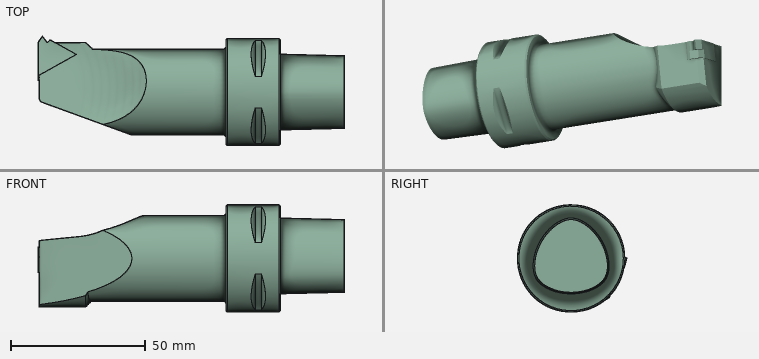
import cadquery as cq
import math

overall_length = 114.0
flange_start = 69.9
flange_end = 90.2
flange_radius = 20.01
flange_edge_chamfer = 0.6
shank_radius = 16.02
shank_fillet = 0.9

coupling_mean_radius = 14.1
coupling_lobe_height = 0.9
coupling_taper = 1 / 40
coupling_points = 36

slot_count = 4
slot_center_x = 82.0
slot_floor_distance = 17.7
slot_floor_width = 2.3
slot_mouth_width = 5.4
slot_reach = 45.6

tilt = 15.0
head_front = 0.3
head_back = 21.1
head_radius = 20.4
head_center_y = 2.7
head_center_z = 2.3
head_back_chamfer = 3.4
rake_height = 5.6
side_wall_offset = 17.5
corner_cut_y = 16.1

relief_angle = 20.0
relief_end_x = 34.9
nose_radius = 2.0

scoop_axis_x = -14.4
scoop_floor_radius = 31.9
scoop_arc_radius = 30.0
scoop_arc_angle = 70.0

insert_altitude = 14.2
insert_mid_y = 13.0
insert_thickness = 3.6
seat_thickness = 3.1
seat_flank_start_y = 16.1
seat_flank_end = (1.4, 18.5)
tooth_tip = (1.6, 20.1)
tooth_start_y = 17.7
tooth_root = (3.4, 17.5)
tooth_crest_x = 4.5
thirty_slope = math.tan(math.radians(30))
insert_half_side = insert_altitude * thirty_slope
insert_low_y = insert_mid_y - insert_half_side
insert_high_y = insert_mid_y + insert_half_side
seat_top = rake_height - insert_thickness
seat_bottom = seat_top - seat_thickness

margin = 68.4


def tilted(shape):
    """Turn a shape from the upright head frame into the tilted one."""
    return shape.rotate((0, 0, 0), (1, 0, 0), -tilt)


def cylinder_along_x(start, end, radius):
    return cq.Workplane("YZ", origin=(start, 0, 0)).circle(radius).extrude(end - start)


def make_shank():
    """Round shank whose root flares into the flange face with a fillet."""
    flare_start = flange_start - shank_fillet
    return (
        cq.Workplane("XY")
        .moveTo(head_front, 0)
        .lineTo(head_front, shank_radius)
        .lineTo(flare_start, shank_radius)
        .radiusArc((flange_start, shank_radius + shank_fillet), -shank_fillet)
        .lineTo(flange_start, 0)
        .close()
        .revolve(360, (0, 0, 0), (1, 0, 0))
    )


def make_slot():
    """One straight trapezoidal slot, cut across the +Z side of the flange."""
    depth = flange_radius - slot_floor_distance
    half_floor = slot_floor_width / 2
    half_mouth = slot_mouth_width / 2
    return (
        cq.Workplane("XZ", origin=(slot_center_x, 0, slot_floor_distance))
        .polyline([(-half_floor, 0), (half_floor, 0), (half_mouth, depth), (-half_mouth, depth)])
        .close()
        .extrude(slot_reach / 2, both=True)
    )


def make_flange():
    flange = cylinder_along_x(flange_start, flange_end, flange_radius)
    flange = flange.edges("%CIRCLE").chamfer(flange_edge_chamfer)
    for index in range(slot_count):
        angle = 360 / slot_count * (index + 0.5)
        flange = flange.cut(make_slot().rotate((0, 0, 0), (1, 0, 0), angle))
    return flange


def coupling_outline(mean_radius):
    """Points of a curve whose distance from center to tangent is mean + lobe * cos(3a), a from +Z."""
    points = []
    for index in range(coupling_points):
        a = 2 * math.pi * index / coupling_points
        distance = mean_radius + coupling_lobe_height * math.cos(3 * a)
        change = -3 * coupling_lobe_height * math.sin(3 * a)
        y = distance * math.sin(a) + change * math.cos(a)
        z = distance * math.cos(a) - change * math.sin(a)
        points.append((y, z))
    return points


def make_coupling():
    length = overall_length - flange_end
    end_radius = coupling_mean_radius - length * coupling_taper
    return (
        cq.Workplane("YZ", origin=(flange_end, 0, 0))
        .spline(coupling_outline(coupling_mean_radius), periodic=True)
        .close()
        .workplane(offset=length)
        .spline(coupling_outline(end_radius), periodic=True)
        .close()
        .loft(ruled=True, combine=True)
    )


def make_head():
    """Oversized head stock with a chamfered back and a flat tilted side wall."""
    head = (
        cq.Workplane("YZ", origin=(head_front, 0, 0))
        .center(head_center_y, head_center_z)
        .circle(head_radius)
        .extrude(head_back - head_front)
    )
    wall = cq.Workplane("XY").box(margin, margin, margin, centered=(True, False, True))
    head = head.cut(tilted(wall.translate((0, side_wall_offset, 0))))
    return head.faces(">X").chamfer(head_back_chamfer)


def make_corner_cut():
    """Upright block that cuts the leading +Y corner of the head at 30 degrees."""
    return (
        cq.Workplane("XY", origin=(0, 0, -margin))
        .polyline([(0, corner_cut_y), (margin, corner_cut_y + margin * thirty_slope), (0, 2 * margin)])
        .close()
        .extrude(2 * margin)
    )


def make_scoop():
    """Flat rake floor blending into a rising arc, turned about an upright axis."""
    arc_angle = math.radians(scoop_arc_angle)

    def arc_point(angle):
        radius = scoop_floor_radius + scoop_arc_radius * math.sin(angle)
        return (radius, rake_height + scoop_arc_radius * (1 - math.cos(angle)))

    end = arc_point(arc_angle)
    scoop = (
        cq.Workplane("XZ")
        .moveTo(0, rake_height)
        .lineTo(scoop_floor_radius, rake_height)
        .threePointArc(arc_point(arc_angle / 2), end)
        .lineTo(0, end[1])
        .close()
        .revolve(360, (0, 0, 0), (0, 1, 0))
    )
    return tilted(scoop.translate((scoop_axis_x, 0, 0)))


def make_relief():
    """Space outside the front face, the rounded nose and the slanted -Y face."""
    slope = math.tan(math.radians(relief_angle))

    def relief_y(x):
        return -shank_radius + (relief_end_x - x) * slope

    far_x = 2 * relief_end_x
    kept = (
        cq.Workplane("XY", origin=(0, 0, -margin))
        .polyline([
            (head_front, relief_y(head_front)),
            (far_x, relief_y(far_x)),
            (far_x, margin),
            (head_front, margin),
        ])
        .close()
        .extrude(2 * margin)
    )
    kept = kept.edges("|Z").edges("<X").edges("<Y").fillet(nose_radius)
    stock = cq.Workplane("XY").box(relief_end_x, 2 * margin, 2 * margin, centered=(False, True, True))
    return stock.cut(kept)


def make_insert():
    """Triangular insert with a thread tooth on its leading +Y corner."""
    right_corner = (insert_altitude, insert_mid_y)
    crest = (tooth_crest_x, insert_high_y - tooth_crest_x * thirty_slope)
    insert = (
        cq.Workplane("XY", origin=(0, 0, seat_top))
        .polyline([(0, insert_low_y), right_corner, crest, tooth_root, tooth_tip, (0, tooth_start_y)])
        .close()
        .extrude(insert_thickness)
    )
    return tilted(insert)


def make_insert_recess():
    """Triangular recess above the seat that takes the insert."""
    recess = (
        cq.Workplane("XY", origin=(0, 0, seat_top))
        .polyline([(0, insert_low_y), (insert_altitude, insert_mid_y), (0, insert_high_y)])
        .close()
        .extrude(insert_thickness)
    )
    return tilted(recess)


def make_seat():
    """Pad under the insert, standing slightly proud of the head's front face."""
    right_corner = (insert_altitude, insert_mid_y)
    flat_y = seat_flank_end[1]
    flat_end = ((insert_high_y - flat_y) / thirty_slope, flat_y)
    seat = (
        cq.Workplane("XY", origin=(0, 0, seat_bottom))
        .polyline([(0, insert_low_y), right_corner, flat_end, seat_flank_end, (0, seat_flank_start_y)])
        .close()
        .extrude(seat_thickness)
    )
    return tilted(seat)


def make_holder():
    front = make_shank().union(make_head())
    front = front.cut(make_relief()).cut(make_scoop())
    front = front.cut(tilted(make_corner_cut())).union(make_seat())
    front = front.cut(make_insert_recess())
    return front.union(make_flange()).union(make_coupling())


holder = make_holder()
insert = make_insert()

result = cq.Compound.makeCompound([holder.solids().val(), insert.val()])